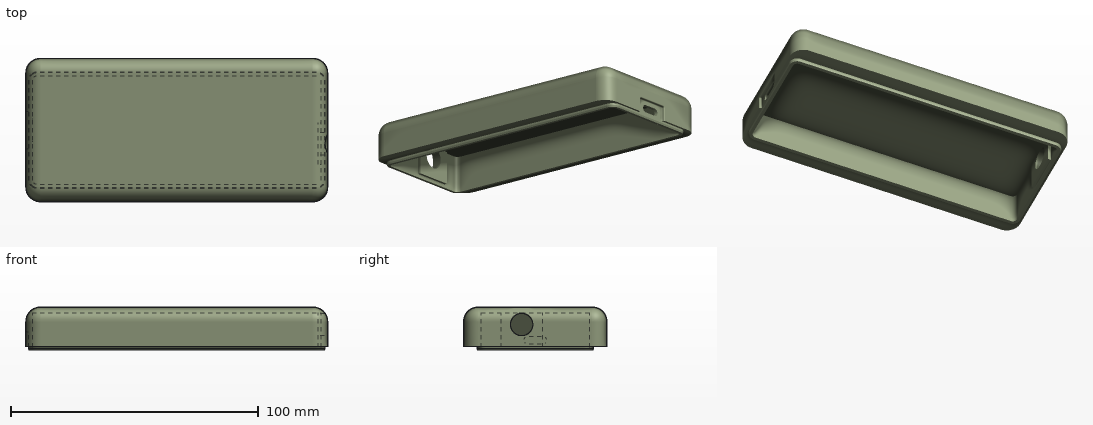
import cadquery as cq

length = 122.0
width = 58.0
height = 17.5
edge_radius = 6.0
lip_height = 1.5

lip_length = 119.8
lip_width = 47.0
lip_corner_radius = 3.5
lip_chamfer_height = 0.7
lip_chamfer_inset = 0.2

wall = 1.6
roof = 2.5
cavity_length = lip_length - 2 * wall
cavity_width = lip_width - 2 * wall
cavity_corner_radius = lip_corner_radius - wall

recess_depth = (length - lip_length) / 2
recess_width = 15.1
recess_top = 7.5
recess_corner_radius = 0.5
recess_blend_radius = 0.4

port_length = 9.2
port_height = 3.0
port_center_z = 4.0

cable_hole_diameter = 9.0
cable_hole_y = -5.5
cable_hole_z = 10.4
pad_thickness = 1.2
pad_width = 16.8


def make_body():
    """Block with rounded upright edges and a rounded top rim."""
    block = (
        cq.Workplane("XY")
        .workplane(offset=lip_height)
        .rect(length, width)
        .extrude(height - lip_height)
    )
    return block.edges("|Z or >Z").fillet(edge_radius)


def make_lip():
    """Narrower plate under the body, chamfered around its bottom rim."""
    plate = cq.Workplane("XY").rect(lip_length, lip_width).extrude(lip_height)
    plate = plate.edges("|Z").fillet(lip_corner_radius)
    return plate.faces("<Z").chamfer(lip_chamfer_height, lip_chamfer_inset)


def make_cavity():
    """Rounded pocket reaching from the bottom up to the roof."""
    pocket = cq.Workplane("XY").rect(cavity_length, cavity_width).extrude(height - roof)
    return pocket.edges("|Z").fillet(cavity_corner_radius)


def cut_recess(case):
    """Sink the port recess: concave blend at its floor, convex blend at its rim."""
    cutter = cq.Workplane("XY").box(
        recess_depth, recess_width, recess_top, centered=(False, True, False)
    )
    cutter = cutter.edges("|X and >Z").fillet(recess_corner_radius)
    cutter = cutter.faces(">X").edges("not <Z").fillet(recess_blend_radius)
    case = case.cut(cutter.translate((-length / 2, 0, 0)))

    margin = recess_blend_radius
    rim = cq.selectors.BoxSelector(
        (-length / 2 - margin, -recess_width / 2 - margin, lip_height + margin),
        (-length / 2 + margin, recess_width / 2 + margin, recess_top + margin),
    )
    return case.edges(rim).fillet(recess_blend_radius)


def make_port_slot():
    """Round-ended slot through the end wall into the cavity."""
    return (
        cq.Workplane("YZ", origin=(-length / 2, 0, port_center_z))
        .slot2D(port_length, port_height)
        .extrude((length - cavity_length) / 2 + wall)
    )


def make_pad():
    """Thickening of the +X end wall around the cable hole."""
    pad = cq.Workplane("XY").box(
        pad_thickness, pad_width, height - roof - lip_height, centered=(False, True, False)
    )
    return pad.translate((cavity_length / 2 - pad_thickness, cable_hole_y, lip_height))


def make_cable_hole():
    """Round hole through the +X end wall and the pad."""
    return (
        cq.Workplane("YZ", origin=(length / 2, cable_hole_y, cable_hole_z))
        .circle(cable_hole_diameter / 2)
        .extrude(-(length - cavity_length) / 2 - pad_thickness)
    )


case = cut_recess(make_body().union(make_lip()))
case = case.cut(make_cavity()).union(make_pad())
result = case.cut(make_port_slot()).cut(make_cable_hole())